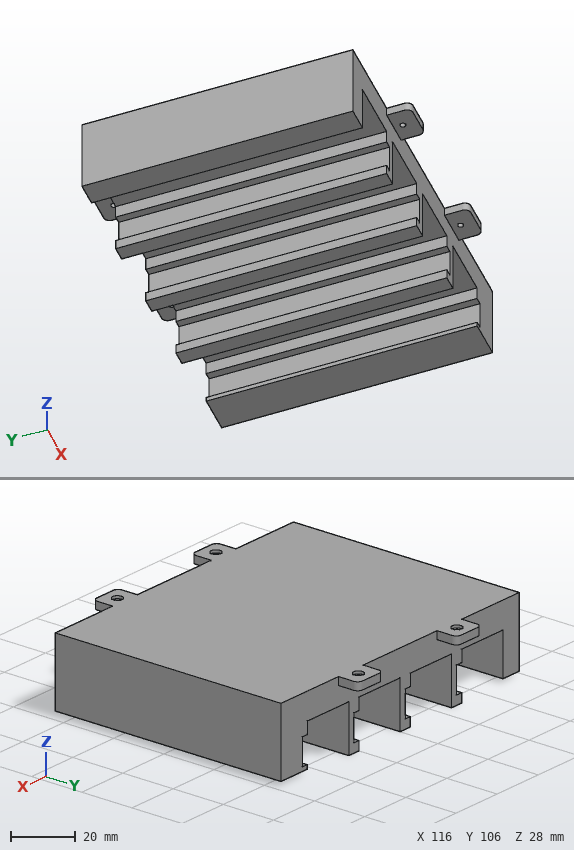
import cadquery as cq

body_width = 116.0
body_length = 90.0
roof_thickness = 10.0
left_wall_height = 26.3
divider_height = 28.0
right_wall_height = 26.1

channel_count = 4
channel_pitch = 25.0
channel_width = 20.0
first_channel_x = 8.0

groove_depth = 2.5
groove_top_depth = 14.5
groove_bottom_depth = 24.5

last_lip_setback = 0.2

tab_width = 12.0
tab_reach = 8.0
tab_thickness = 3.0
tab_corner_radius = 2.0
tab_centers_x = (34.05, 82.0)

hole_offset = 3.0
hole_diameter = 1.77
counterbore_diameter = 3.78
counterbore_depth = 1.0


def box(x_min, x_max, y_min, y_max, z_min, z_max):
    """Axis-aligned box given by its limits."""
    size = (x_max - x_min, y_max - y_min, z_max - z_min)
    return cq.Workplane("XY").box(*size, centered=False).translate((x_min, y_min, z_min))


def full_length_bar(x_min, x_max, top_depth, bottom_depth):
    """Bar along the whole body, with its depths measured down from the top face."""
    return box(x_min, x_max, 0, body_length, -bottom_depth, -top_depth)


def make_body():
    """Roof with two side walls and the dividers; the walls right of the channels are grooved."""
    last_channel = channel_count - 1
    body = full_length_bar(0, body_width, 0, roof_thickness)
    body = body.union(full_length_bar(0, first_channel_x, 0, left_wall_height))
    for index in range(channel_count):
        wall_x = first_channel_x + index * channel_pitch + channel_width
        if index < last_channel:
            wall_end_x = wall_x + channel_pitch - channel_width
            wall_height = divider_height
        else:
            wall_end_x = body_width
            wall_height = right_wall_height
        wall = full_length_bar(wall_x, wall_end_x, 0, wall_height)
        groove = full_length_bar(wall_x, wall_x + groove_depth, groove_top_depth, groove_bottom_depth)
        wall = wall.cut(groove)
        if index == last_channel:
            lip_trim = full_length_bar(wall_x, wall_x + last_lip_setback, groove_bottom_depth, wall_height)
            wall = wall.cut(lip_trim)
        body = body.union(wall)
    return body


def make_tab(center_x, edge_y, outward):
    """Tab with rounded outer corners; outward is -1 for the front edge and 1 for the back."""
    tip_y = edge_y + outward * tab_reach
    tab = box(
        center_x - tab_width / 2,
        center_x + tab_width / 2,
        min(edge_y, tip_y),
        max(edge_y, tip_y),
        -tab_thickness,
        0,
    )
    outer_side = ">Y" if outward > 0 else "<Y"
    tab = tab.faces(outer_side).edges("|Z").fillet(tab_corner_radius)
    return (
        tab.faces(">Z")
        .workplane(origin=(center_x, edge_y + outward * hole_offset, 0))
        .cboreHole(hole_diameter, counterbore_diameter, counterbore_depth)
    )


result = make_body()
for tab_x in tab_centers_x:
    result = result.union(make_tab(tab_x, 0, -1))
    result = result.union(make_tab(tab_x, body_length, 1))